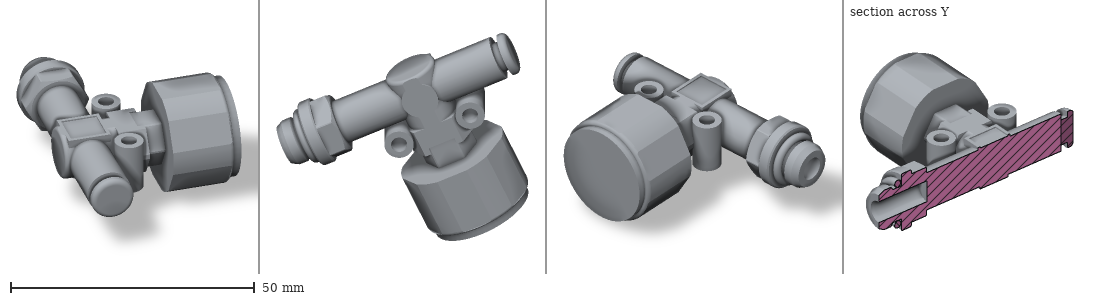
import cadquery as cq
import math


HALF_CORNER_STEP = 30

STUD_START = -30.5
STUD_BORE_DIAMETER = 5.0
THREAD_DIAMETER = 9.7
UNDERCUT_DIAMETER = 8.2
LEAD_CHAMFER_LENGTH = 1.45
THREAD_END = -27.2
UNDERCUT_START = -26.75
FLANGE_START = -24.55
FLANGE_END = -21.8
FLANGE_DIAMETER = 14.0
FLANGE_CHAMFER = 0.3

HEX_ACROSS_FLATS = 11.9
HEX_CORNER_DIAMETER = 13.6
HEX_END = -17.8
HEX_END_FACE_DIAMETER = 11.4
HEX_CHAMFER_ANGLE = 30

RING_SECTION_DIAMETER = 1.75

PIPE_DIAMETER = 9.2
PIPE_END = 17.7
COLLET_NECK_DIAMETER = 6.2
COLLET_RIM_DIAMETER = 9.0
COLLET_RIM_START = 19.3
COLLET_END = 20.9
COLLET_FILLET = 1.05

BODY_HALF_HEIGHT = 5.2
BOSS_DIAMETER = 10.95
BOSS_FRONT = -5.5
BOSS_FILLET = 0.75
PAD_WIDTH = 8.55
PAD_LENGTH = 9.0
PAD_RECESS_WIDTH = 7.1
PAD_RECESS_LENGTH = 7.6
PAD_RECESS_DEPTH = 0.3
ROUND_PAD_DIAMETER = 7.5

NECK_START = 6.15
NECK_END = 12.1
NECK_ACROSS_FLATS = 12.55
NECK_WIDTH = 13.9

EYE_OUTER_DIAMETER = 6.0
EYE_HOLE_DIAMETER = 3.3
EYE_SPACING = 16.05
EYE_Y = 7.25
EYE_HEIGHT = 10.8

STEM_ACROSS_FLATS = 10.1
STEM_CORNER_DIAMETER = 11.4
STEM_START = 10.65
STEM_SLOT_WIDTH = 5.75
CASE_START = 15.8
CASE_END = 29.0
CASE_DIAMETER = 22.9
CASE_FILLET = 0.9
CASE_FLAT_WIDTH = 6.65
CASE_FLAT_END = 28.55
LENS_DIAMETER = 20.95
LENS_END = 30.65


def cylinder_x(diameter, start, end):
    """Cylinder on the X axis."""
    return cq.Workplane("YZ").workplane(offset=start).circle(diameter / 2).extrude(end - start)


def cylinder_y(diameter, start, end):
    """Cylinder on the Y axis."""
    return cq.Workplane("XZ").workplane(offset=-start).circle(diameter / 2).extrude(start - end)


def hexagon_x(across_flats, start, end):
    """Hexagonal bar on the X axis with flats facing +Z and -Z."""
    across_corners = across_flats / math.cos(math.radians(HALF_CORNER_STEP))
    return cq.Workplane("YZ").workplane(offset=start).polygon(6, across_corners).extrude(end - start)


def hexagon_y(across_flats, start, end):
    """Hexagonal bar on the Y axis with flats facing +Z and -Z."""
    across_corners = across_flats / math.cos(math.radians(HALF_CORNER_STEP))
    return cq.Workplane("XZ").workplane(offset=-start).polygon(6, across_corners).extrude(start - end)


def make_stud():
    """Thread, undercut and chamfered flange, turned about the X axis."""
    thread_radius = THREAD_DIAMETER / 2
    undercut_radius = UNDERCUT_DIAMETER / 2
    flange_radius = FLANGE_DIAMETER / 2
    return (
        cq.Workplane("XY")
        .moveTo(STUD_START, 0)
        .lineTo(STUD_START, undercut_radius)
        .lineTo(STUD_START + LEAD_CHAMFER_LENGTH, thread_radius)
        .lineTo(THREAD_END, thread_radius)
        .lineTo(UNDERCUT_START, undercut_radius)
        .lineTo(FLANGE_START, undercut_radius)
        .lineTo(FLANGE_START, flange_radius - FLANGE_CHAMFER)
        .lineTo(FLANGE_START + FLANGE_CHAMFER, flange_radius)
        .lineTo(FLANGE_END - FLANGE_CHAMFER, flange_radius)
        .lineTo(FLANGE_END, flange_radius - FLANGE_CHAMFER)
        .lineTo(FLANGE_END, 0)
        .close()
        .revolve(360, (0, 0, 0), (1, 0, 0))
    )


def make_spanner_hex():
    """Hexagon with trimmed corners and a turned chamfer at the pipe end."""
    corner_radius = HEX_CORNER_DIAMETER / 2
    end_radius = HEX_END_FACE_DIAMETER / 2
    chamfer_length = (corner_radius - end_radius) * math.tan(math.radians(HEX_CHAMFER_ANGLE))
    envelope = (
        cq.Workplane("XY")
        .moveTo(FLANGE_END, 0)
        .lineTo(FLANGE_END, corner_radius)
        .lineTo(HEX_END - chamfer_length, corner_radius)
        .lineTo(HEX_END, end_radius)
        .lineTo(HEX_END, 0)
        .close()
        .revolve(360, (0, 0, 0), (1, 0, 0))
    )
    return hexagon_x(HEX_ACROSS_FLATS, FLANGE_END, HEX_END).intersect(envelope)


def make_branch():
    """Round boss, upper and lower pads and hexagonal neck, all cut to one height."""
    boss = cylinder_y(BOSS_DIAMETER, BOSS_FRONT, NECK_START)
    boss = boss.faces("<Y").edges().fillet(BOSS_FILLET)
    square_pad = cq.Workplane("XY").rect(PAD_WIDTH, PAD_LENGTH).extrude(BODY_HALF_HEIGHT)
    round_pad = cq.Workplane("XY").circle(ROUND_PAD_DIAMETER / 2).extrude(-BODY_HALF_HEIGHT)
    neck = hexagon_y(NECK_ACROSS_FLATS, NECK_START, NECK_END)
    limits = cq.Workplane("XY").box(NECK_WIDTH, 2 * NECK_END, 2 * BODY_HALF_HEIGHT)
    return boss.union(square_pad).union(round_pad).union(neck).intersect(limits)


def make_pad_recess():
    """Shallow rectangular recess in the square pad."""
    return (
        cq.Workplane("XY")
        .workplane(offset=BODY_HALF_HEIGHT - PAD_RECESS_DEPTH)
        .rect(PAD_RECESS_WIDTH, PAD_RECESS_LENGTH)
        .extrude(PAD_RECESS_DEPTH)
    )


def make_stem():
    """Hexagonal gauge stem with trimmed corners."""
    hexagon = hexagon_y(STEM_ACROSS_FLATS, STEM_START, CASE_START)
    return hexagon.intersect(cylinder_y(STEM_CORNER_DIAMETER, STEM_START, CASE_START))


def make_stem_socket():
    """Hexagonal socket for the stem, open through the neck's top and bottom faces."""
    slot_length = NECK_END - STEM_START
    slot = (
        cq.Workplane("XY")
        .box(STEM_SLOT_WIDTH, slot_length, 2 * BODY_HALF_HEIGHT)
        .translate((0, STEM_START + slot_length / 2, 0))
    )
    return make_stem().union(slot)


def eye_cylinders(diameter):
    """Pair of upright cylinders at the mounting eyes."""
    return (
        cq.Workplane("XY")
        .workplane(offset=-EYE_HEIGHT / 2)
        .pushPoints([(-EYE_SPACING / 2, EYE_Y), (EYE_SPACING / 2, EYE_Y)])
        .circle(diameter / 2)
        .extrude(EYE_HEIGHT)
    )


def make_fitting():
    """Tee fitting with its threaded end, pipe, gauge branch and mounting eyes."""
    fitting = make_stud().union(make_spanner_hex())
    fitting = fitting.union(cylinder_x(PIPE_DIAMETER, HEX_END, PIPE_END))
    fitting = fitting.union(make_branch()).union(eye_cylinders(EYE_OUTER_DIAMETER))
    fitting = fitting.cut(cylinder_x(STUD_BORE_DIAMETER, STUD_START, HEX_END))
    fitting = fitting.cut(make_pad_recess()).cut(make_stem_socket())
    return fitting.cut(eye_cylinders(EYE_HOLE_DIAMETER))


def make_seal_ring():
    """O-ring touching the undercut and the flange face."""
    section_radius = RING_SECTION_DIAMETER / 2
    ring_radius = UNDERCUT_DIAMETER / 2 + section_radius
    ring_x = FLANGE_START - section_radius
    ring = cq.Solid.makeTorus(ring_radius, section_radius, cq.Vector(ring_x, 0, 0), cq.Vector(1, 0, 0))
    return cq.Workplane(ring)


def make_collet():
    """Release collet: a neck against the pipe end and a rounded rim."""
    rim = cylinder_x(COLLET_RIM_DIAMETER, COLLET_RIM_START, COLLET_END)
    rim = rim.faces(">X").edges().fillet(COLLET_FILLET)
    return rim.union(cylinder_x(COLLET_NECK_DIAMETER, PIPE_END, COLLET_RIM_START))


def make_case_flats():
    """Six segments trimmed from the case, stopping short of its rounded rim."""
    flat_distance = math.sqrt((CASE_DIAMETER / 2) ** 2 - (CASE_FLAT_WIDTH / 2) ** 2)
    blank = cylinder_y(CASE_DIAMETER, CASE_START, CASE_FLAT_END)
    return blank.cut(hexagon_y(2 * flat_distance, CASE_START, CASE_FLAT_END))


def make_gauge():
    """Gauge with its hexagonal stem, flatted case and round lens."""
    case = cylinder_y(CASE_DIAMETER, CASE_START, CASE_END)
    case = case.faces(">Y").edges().fillet(CASE_FILLET)
    case = case.cut(make_case_flats())
    return case.union(make_stem()).union(cylinder_y(LENS_DIAMETER, CASE_END, LENS_END))


fitting = make_fitting()
seal_ring = make_seal_ring()
collet = make_collet()
gauge = make_gauge()

result = cq.Compound.makeCompound([fitting.val(), seal_ring.val(), collet.val(), gauge.val()])